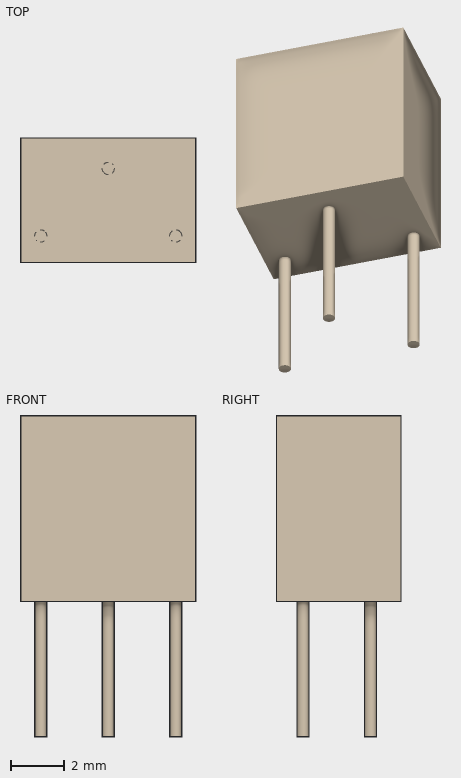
import cadquery as cq

total_height = 12.1
housing_width = 6.6
housing_depth = 4.7
pin_length = 5.1
housing_height = total_height - pin_length

pin_diameter = 0.46
pin_pitch = 2.54
front_pin_inset = 1.0

front_row_y = -housing_depth / 2 + front_pin_inset
back_row_y = front_row_y + pin_pitch
pin_positions = [
    (-pin_pitch, front_row_y),
    (pin_pitch, front_row_y),
    (0, back_row_y),
]


def make_housing():
    """Plain rectangular housing standing on the pins."""
    return cq.Workplane("XY").box(
        housing_width, housing_depth, housing_height, centered=(True, True, False)
    )


def make_pin(x, y):
    """Round pin hanging from the underside of the housing."""
    return cq.Workplane("XY").center(x, y).circle(pin_diameter / 2).extrude(-pin_length)


housing = make_housing()
pins = [make_pin(x, y) for x, y in pin_positions]

result = cq.Compound.makeCompound([housing.val(), *[pin.val() for pin in pins]])